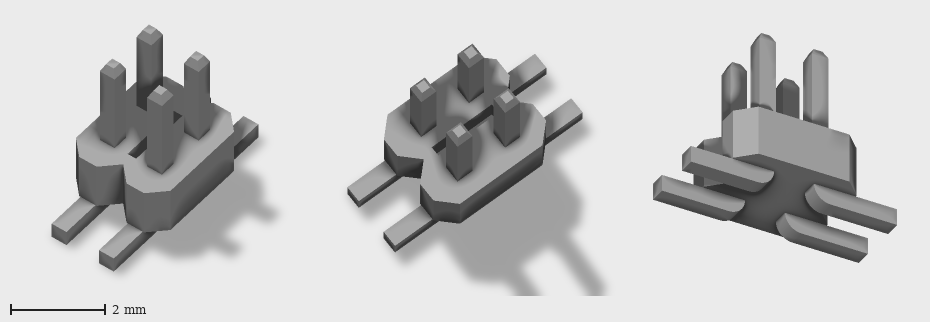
import cadquery as cq
import math

pitch = 1.27
columns = 2
pin_width = 0.4
lead_span = 5.0

body_length = 3.0
body_height = 1.2
corner_chamfer = 0.4

slot_width = 0.23
slot_length = 1.6
slot_depth = 0.6

total_height = 3.9
tip_height = 0.2
tip_width = 0.21

lead_height = pin_width
lead_length = 2.015
bend_radius = lead_height

body_top = lead_height + body_height
pin_offset = pitch / 2
column_positions = [(i - (columns - 1) / 2) * pitch for i in range(columns)]


def make_body_cell(x):
    """One octagonal column of the insulator."""
    return (
        cq.Workplane("XY", origin=(x, 0, lead_height))
        .rect(pitch, body_length)
        .extrude(body_height)
        .edges("|Z")
        .chamfer(corner_chamfer)
    )


def make_slot():
    return (
        cq.Workplane("XY", origin=(0, 0, body_top - slot_depth))
        .rect(slot_width, slot_length)
        .extrude(slot_depth)
    )


def make_pin(x, y):
    """Square pin rising from the lead, ending in a pyramidal tip."""
    shoulder = total_height - tip_height
    shaft = (
        cq.Workplane("XY", origin=(x, y, lead_height))
        .rect(pin_width, pin_width)
        .extrude(shoulder - lead_height)
    )
    tip = (
        cq.Workplane("XY", origin=(x, y, shoulder))
        .rect(pin_width, pin_width)
        .workplane(offset=tip_height)
        .rect(tip_width, tip_width)
        .loft(ruled=True)
    )
    return shaft.union(tip)


def make_lead(x, side):
    """Flat lead running outward along Y, with a quarter-round under its inner end."""
    outer = side * lead_span / 2
    inner = side * (lead_span / 2 - lead_length)
    bend_start = inner + side * bend_radius
    diagonal = bend_radius * math.sqrt(0.5)
    arc_middle = (bend_start - side * diagonal, bend_radius - diagonal)
    return (
        cq.Workplane("YZ", origin=(x - pin_width / 2, 0, 0))
        .moveTo(outer, 0)
        .lineTo(bend_start, 0)
        .threePointArc(arc_middle, (inner, bend_radius))
        .lineTo(outer, lead_height)
        .close()
        .extrude(pin_width)
    )


body = make_body_cell(column_positions[0])
for column_x in column_positions[1:]:
    body = body.union(make_body_cell(column_x))
result = body.cut(make_slot())

for column_x in column_positions:
    for row_side in (-1, 1):
        result = result.union(make_pin(column_x, row_side * pin_offset))
        result = result.union(make_lead(column_x, row_side))